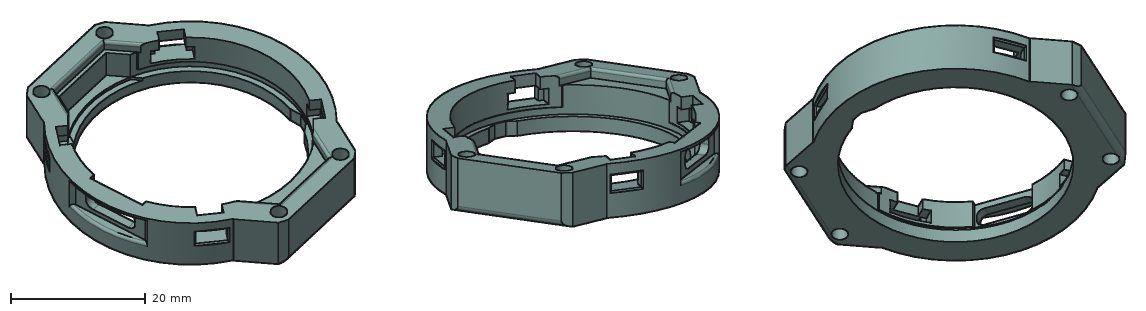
import cadquery as cq
import math

height = 8.55
ring_radius = 43.55 / 2
blank_radius = 28.85
bore_radius = 17.5
ledge_height = 2.35
wall_radius = 18.3
relief_radius = 18.5
relief_top = 3.55
relief_half_depth = 8.7

left_face = -23.9
right_face = 24.2
flank_angle = math.radians(30)
flank_slope = math.tan(flank_angle)
flank_root_y = 13.0
flank_apex = 23.15
ear_corner_cut = 0.95
ear_bottom_radius = 1.0

screw_diameter = 2.5
screw_inset = 2.15
left_screw_spacing = 15.8
right_screw_spacing = 15.4

ear_wall = 2.8
pocket_apex = 18.75
pocket_half_depth = 14.45
pocket_floor = 6.97
pocket_rim_radius = 0.5
shelf_inset = 1.15
channel_depth = 0.5

latch_slot_width = 4.0
latch_recess_width = 6.6
latch_overrun = 0.95
latch_back = 19.95
window_width = 4.8
window_bottom = 4.15
window_top = 6.6
window_bevel = 0.25

recess_width = 12.9
recess_mouth_width = 14.45
recess_bottom = 3.35
recess_top = 8.15
recess_plane = 20.05
recess_lip_radius = 0.5
slot_width = 9.1
slot_bottom = 4.2
slot_height = 3.2
slot_corner_radius = 1.3
pad_width = 9.6
pad_plane = 18.55

notch_points = [(6.4, 16.35), (8.3, 16.25), (9.6, 16.6), (10.15, 15.05), (10.95, 13.7)]
notch_inner_point = (7.7, 13.0)


def disc(radius, bottom, top):
    return cq.Workplane("XY").workplane(offset=bottom).circle(radius).extrude(top - bottom)


def box(x_range, y_range, z_range):
    sizes = [high - low for low, high in (x_range, y_range, z_range)]
    corner = (x_range[0], y_range[0], z_range[0])
    return cq.Workplane("XY").box(*sizes, centered=False).translate(corner)


def hexagon(left, right, apex, bottom, top):
    """Prism with flat ends at X = left and right, and 30 degree flanks meeting on X = 0."""
    left_y = apex + flank_slope * left
    right_y = apex - flank_slope * right
    outline = [(left, -left_y), (0, -apex), (right, -right_y), (right, right_y), (0, apex), (left, left_y)]
    return cq.Workplane("XY").workplane(offset=bottom).polyline(outline).close().extrude(top - bottom)


def outline_prism():
    """Ring with two ears, before anything is cut into it."""
    ear_body = hexagon(left_face, right_face, flank_apex, 0, height)
    ear_body = ear_body.edges("|Z and (<X or >X)").chamfer(ear_corner_cut)
    limits = box((left_face, right_face), (-flank_root_y, flank_root_y), (0, height))
    limits = limits.edges("|Y and <Z").fillet(ear_bottom_radius)
    return disc(ring_radius, 0, height).union(ear_body.intersect(limits))


def pocketed_blank():
    """Oversized disc holding the ear pockets, with their rims rounded."""
    floor_hexagon = pocket_hexagon(pocket_rim_radius, pocket_floor)
    blank = disc(blank_radius, 0, height).cut(floor_hexagon)
    return blank.faces(">Z").edges("%LINE").fillet(pocket_rim_radius)


def pocket_hexagon(inset, bottom):
    """Ear pocket space from the given height up, inset from the pocket rim."""
    prism = hexagon(
        left_face + ear_wall + inset,
        right_face - ear_wall - inset,
        pocket_apex - inset / math.cos(flank_angle),
        bottom,
        height,
    )
    return prism.intersect(box((left_face, right_face), (-pocket_half_depth, pocket_half_depth), (0, height)))


def seat():
    """Space inside the ring: bore, wall above the ledge and the wider seat."""
    space = disc(bore_radius, 0, height).union(disc(wall_radius, ledge_height, height))
    space = space.union(disc(relief_radius, ledge_height, relief_top))
    beside_ears = disc(relief_radius, ledge_height, height)
    ear_band = box((left_face, right_face), (-relief_half_depth, relief_half_depth), (0, height))
    return space.union(beside_ears.intersect(ear_band))


def left_deep_pocket():
    """Deep pocket of the left ear, one step lower where it crosses the ledge."""
    space = pocket_hexagon(shelf_inset, ledge_height - channel_depth)
    left_half = box((left_face, 0), (-ring_radius, ring_radius), (0, height))
    outside_seat = disc(blank_radius, 0, ledge_height).cut(disc(relief_radius, 0, ledge_height))
    return space.intersect(left_half).cut(outside_seat)


def ledge_notch():
    space = cq.Workplane("XY").polyline(notch_points + [notch_inner_point]).close().extrude(height)
    return space.intersect(disc(wall_radius, 0, height))


def latch_window():
    """Latch space on the +X side: top slot, wider recess and bevelled window."""
    inner_start = wall_radius - latch_overrun
    window_height = window_top - window_bottom
    mouth_width = window_width + 2 * window_bevel
    mouth_height = window_height + 2 * window_bevel
    mouth_start = math.sqrt(ring_radius**2 - (mouth_width / 2) ** 2)

    def block(end, width, top):
        return box((inner_start, end), (-width / 2, width / 2), (window_bottom, top))

    space = block(latch_back, latch_slot_width, height)
    space = space.union(block(latch_back, latch_recess_width, window_top))
    space = space.union(block(ring_radius, window_width, window_top))
    bevel = (
        cq.Workplane("YZ", origin=(mouth_start - window_bevel, 0, (window_bottom + window_top) / 2))
        .rect(window_width, window_height)
        .workplane(offset=window_bevel)
        .rect(mouth_width, mouth_height)
        .loft()
    )
    mouth = bevel.faces(">X").workplane().rect(mouth_width, mouth_height).extrude(ring_radius - mouth_start)
    return space.union(mouth)


def connector_recess():
    """Flat-backed recess with flared sides and a rounded lower lip."""
    half_recess = recess_width / 2
    half_mouth = recess_mouth_width / 2
    mouth_y = math.sqrt(ring_radius**2 - half_mouth**2)
    mouth_bottom = recess_bottom - recess_lip_radius
    profile = [
        (-half_recess, -recess_plane),
        (half_recess, -recess_plane),
        (half_mouth, -mouth_y),
        (half_mouth, -blank_radius),
        (-half_mouth, -blank_radius),
        (-half_mouth, -mouth_y),
    ]
    recess = cq.Workplane("XY").polyline(profile).close().extrude(recess_top)
    lip_start = ring_radius - recess_lip_radius
    diagonal = math.sin(math.radians(45))
    lip = (
        cq.Workplane("XZ")
        .moveTo(0, recess_bottom)
        .lineTo(lip_start, recess_bottom)
        .threePointArc(
            (lip_start + recess_lip_radius * diagonal, mouth_bottom + recess_lip_radius * diagonal),
            (ring_radius, mouth_bottom),
        )
        .lineTo(blank_radius, mouth_bottom)
        .lineTo(blank_radius, height)
        .lineTo(0, height)
        .close()
        .revolve(360, (0, 0, 0), (0, 1, 0))
    )
    return recess.intersect(lip)


def connector_slot():
    return (
        cq.Workplane("XZ", origin=(0, 0, slot_bottom + slot_height / 2))
        .rect(slot_width, slot_height)
        .extrude(ring_radius)
        .edges("|Y")
        .fillet(slot_corner_radius)
    )


def connector_pad():
    """Flat on the inner wall behind the connector slot."""
    half_pad = pad_width / 2
    return box((-half_pad, half_pad), (-pad_plane, -bore_radius / 2), (relief_top, height))


def screw_holes():
    left_x = left_face + screw_inset
    right_x = right_face - screw_inset
    centers = [
        (x, side * spacing / 2)
        for x, spacing in ((left_x, left_screw_spacing), (right_x, right_screw_spacing))
        for side in (-1, 1)
    ]
    return cq.Workplane("XY").pushPoints(centers).circle(screw_diameter / 2).extrude(height)


result = outline_prism().intersect(pocketed_blank())
result = result.cut(connector_recess()).cut(connector_slot()).cut(connector_pad())
result = result.cut(seat()).cut(left_deep_pocket()).cut(ledge_notch()).cut(screw_holes())
latch = latch_window()
for angle in (45, 135, 225, 315):
    result = result.cut(latch.rotate((0, 0, 0), (0, 0, 1), angle))